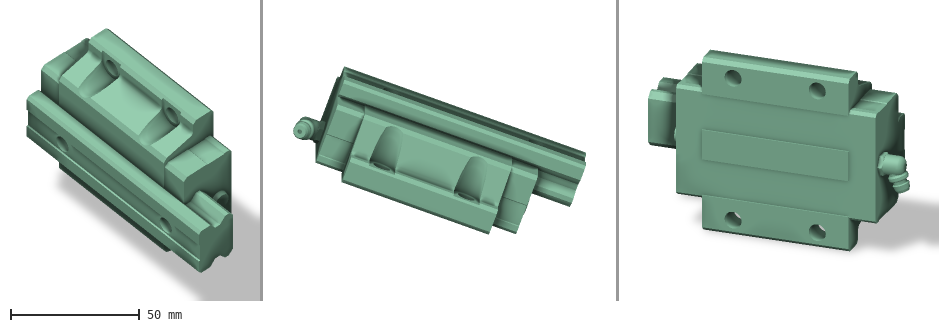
import cadquery as cq
import math


RAIL_LENGTH = 100.0
RAIL_HEIGHT = 18.0
RAIL_HALF_WIDTH = 11.5
RAIL_FOOT_CHAMFER = 1.2
RAIL_HEAD_CHAMFER = 2.3
RACE_HALF_WIDTH = 8.5
RACE_FOOT_EDGE = 5.9
RACE_FLOOR_LOW = 8.5
RACE_FLOOR_HIGH = 11.0
RACE_HEAD_EDGE = 13.7
RELIEF_HALF_WIDTH = 4.5
RELIEF_DEPTH = 0.7
RELIEF_DRAFT = 0.2
RAIL_HOLE_DIAMETER = 7.0
RAIL_HOLE_PITCH = 60.0

CAP_LENGTH = 11.0
BLOCK_LENGTH = 60.9
CARRIAGE_LENGTH = BLOCK_LENGTH + 2 * CAP_LENGTH
BLOCK_CENTER_X = CARRIAGE_LENGTH / 2
BLOCK_TOP = 33.0
BLOCK_BOTTOM = 6.9
FLANGE_UNDERSIDE = 22.3
FLANGE_HALF_WIDTH = 73.0 / 2
FLANGE_CHAMFER = 1.6
FLANK_ROOT_HALF_WIDTH = 29.6
FLANK_ROOT_RADIUS = 1.8
FLANK_ANGLE = 15
FLANK_END = 8.5
BOTTOM_HALF_WIDTH = 24.0
TOP_GROOVE_INNER = 6.2
TOP_GROOVE_OUTER = 21.4

BOLT_HOLE_DIAMETER = 7.0
BOLT_PITCH_X = 35.0
BOLT_PITCH_Z = 60.0
POCKET_WIDTH = 10.7
POCKET_DEPTH = 0.7

CAP_TOP = 32.3
CAP_BOTTOM = 7.5
CAP_HALF_WIDTH = 23.2
CAP_TOP_CHAMFER = 1.2
CAP_BOTTOM_CHAMFER = 1.7
CAP_RECESS_LOW = 19.6
CAP_RECESS_HIGH = 28.8
CAP_RECESS_DEPTH = 0.3

NIPPLE_Y = 25.6
HEX_ACROSS_CORNERS = 9.4
HEX_LENGTH = 2.0
HEX_BEVEL = 0.6
ELBOW_DIAMETER = 8.0
ELBOW_LENGTH = 9.7
ELBOW_ROUND = 2.6
SPOUT_PIVOT_X = -5.4
SPOUT_TILT = 20
COLLAR_DIAMETER = 8.0
SPOUT_DIAMETER = 6.6
NECK_DIAMETER = 5.5
HEAD_DIAMETER = 6.8
TIP_DIAMETER = 4.9
COLLAR_START = 3.3
COLLAR_END = 5.9
COLLAR_BEVEL = 0.8
NECK_END = 7.4
HEAD_START = 7.7
HEAD_TAPER_START = 9.7
SPOUT_LENGTH = 10.8
HEAD_TAPER_DIAMETER = 6.0
TIP_HOLE_DIAMETER = 1.8
TIP_HOLE_DEPTH = 1.1
PLUG_DIAMETER = 8.0
PLUG_LENGTH = 2.0


def mirrored_prism(half_outline, x_start, length):
    """Extrude along X a section given by its +Z half, as (y, z) points, mirrored about Z = 0."""
    other_half = [(y, -z) for y, z in reversed(half_outline)]
    return (
        cq.Workplane("YZ", origin=(x_start, 0, 0))
        .polyline(half_outline + other_half)
        .close()
        .extrude(length)
    )


def rail_prism():
    half_outline = [
        (RELIEF_DEPTH, RELIEF_HALF_WIDTH - RELIEF_DRAFT),
        (0, RELIEF_HALF_WIDTH),
        (0, RAIL_HALF_WIDTH - RAIL_FOOT_CHAMFER),
        (RAIL_FOOT_CHAMFER, RAIL_HALF_WIDTH),
        (RACE_FOOT_EDGE, RAIL_HALF_WIDTH),
        (RACE_FLOOR_LOW, RACE_HALF_WIDTH),
        (RACE_FLOOR_HIGH, RACE_HALF_WIDTH),
        (RACE_HEAD_EDGE, RAIL_HALF_WIDTH),
        (RAIL_HEIGHT - RAIL_HEAD_CHAMFER, RAIL_HALF_WIDTH),
        (RAIL_HEIGHT, RAIL_HALF_WIDTH - RAIL_HEAD_CHAMFER),
    ]
    return mirrored_prism(half_outline, 0, RAIL_LENGTH)


def y_cylinder(x, z, diameter, y_start, length):
    return cq.Workplane(
        cq.Solid.makeCylinder(diameter / 2, length, cq.Vector(x, y_start, z), cq.Vector(0, 1, 0))
    )


def make_rail():
    rail = rail_prism()
    for side in (-1, 1):
        hole_x = RAIL_LENGTH / 2 + side * RAIL_HOLE_PITCH / 2
        rail = rail.cut(y_cylinder(hole_x, 0, RAIL_HOLE_DIAMETER, 0, RAIL_HEIGHT))
    return rail


def make_block():
    flank_drop = (FLANGE_UNDERSIDE - FLANK_END) * math.tan(math.radians(FLANK_ANGLE))
    half_outline = [
        (BLOCK_BOTTOM, BOTTOM_HALF_WIDTH),
        (FLANK_END, FLANK_ROOT_HALF_WIDTH - flank_drop),
        (FLANGE_UNDERSIDE, FLANK_ROOT_HALF_WIDTH),
        (FLANGE_UNDERSIDE, FLANGE_HALF_WIDTH - FLANGE_CHAMFER),
        (FLANGE_UNDERSIDE + FLANGE_CHAMFER, FLANGE_HALF_WIDTH),
        (BLOCK_TOP - FLANGE_CHAMFER, FLANGE_HALF_WIDTH),
        (BLOCK_TOP, FLANGE_HALF_WIDTH - FLANGE_CHAMFER),
        (BLOCK_TOP, TOP_GROOVE_OUTER),
        (CAP_TOP, TOP_GROOVE_OUTER),
        (CAP_TOP, TOP_GROOVE_INNER),
        (BLOCK_TOP, TOP_GROOVE_INNER),
    ]
    block = mirrored_prism(half_outline, CAP_LENGTH, BLOCK_LENGTH)
    for side in (-1, 1):
        root_point = (BLOCK_CENTER_X, FLANGE_UNDERSIDE, side * FLANK_ROOT_HALF_WIDTH)
        root_edge = cq.selectors.NearestToPointSelector(root_point)
        block = block.edges(root_edge).fillet(FLANK_ROOT_RADIUS)
    for x_side in (-1, 1):
        for z_side in (-1, 1):
            block = block.cut(bolt_hole_and_pocket(x_side, z_side))
    return block


def bolt_hole_and_pocket(x_side, z_side):
    """Through hole plus a round-ended pocket that runs out through the flange side."""
    x = BLOCK_CENTER_X + x_side * BOLT_PITCH_X / 2
    z = z_side * BOLT_PITCH_Z / 2
    pocket_height = FLANGE_UNDERSIDE + POCKET_DEPTH - BLOCK_BOTTOM
    run_out = FLANGE_HALF_WIDTH - BOLT_PITCH_Z / 2
    hole = y_cylinder(x, z, BOLT_HOLE_DIAMETER, BLOCK_BOTTOM, BLOCK_TOP - BLOCK_BOTTOM)
    round_end = y_cylinder(x, z, POCKET_WIDTH, BLOCK_BOTTOM, pocket_height)
    open_end = cq.Workplane().box(POCKET_WIDTH, pocket_height, run_out).translate(
        (x, BLOCK_BOTTOM + pocket_height / 2, z + z_side * run_out / 2)
    )
    return hole.union(round_end).union(open_end)


def make_cap(x_start):
    recess_half_width = CAP_HALF_WIDTH - CAP_RECESS_DEPTH
    half_outline = [
        (CAP_BOTTOM, CAP_HALF_WIDTH - CAP_BOTTOM_CHAMFER),
        (CAP_BOTTOM + CAP_BOTTOM_CHAMFER, CAP_HALF_WIDTH),
        (CAP_RECESS_LOW, CAP_HALF_WIDTH),
        (CAP_RECESS_LOW + CAP_RECESS_DEPTH, recess_half_width),
        (CAP_RECESS_HIGH - CAP_RECESS_DEPTH, recess_half_width),
        (CAP_RECESS_HIGH, CAP_HALF_WIDTH),
        (CAP_TOP - CAP_TOP_CHAMFER, CAP_HALF_WIDTH),
        (CAP_TOP, CAP_HALF_WIDTH - CAP_TOP_CHAMFER),
    ]
    return mirrored_prism(half_outline, x_start, CAP_LENGTH)


def make_spout():
    """Stepped spout turned about its own axis, then tilted onto the elbow."""
    collar_radius = COLLAR_DIAMETER / 2
    tip_hole_bottom = -SPOUT_LENGTH + TIP_HOLE_DEPTH
    spout = (
        cq.Workplane("XZ")
        .lineTo(SPOUT_DIAMETER / 2, 0)
        .lineTo(SPOUT_DIAMETER / 2, -COLLAR_START)
        .lineTo(collar_radius, -COLLAR_START - COLLAR_BEVEL)
        .lineTo(collar_radius, -COLLAR_END + COLLAR_BEVEL)
        .radiusArc((collar_radius - COLLAR_BEVEL, -COLLAR_END), COLLAR_BEVEL)
        .lineTo(NECK_DIAMETER / 2, -COLLAR_END)
        .lineTo(NECK_DIAMETER / 2, -NECK_END)
        .lineTo(HEAD_DIAMETER / 2, -HEAD_START)
        .lineTo(HEAD_TAPER_DIAMETER / 2, -HEAD_TAPER_START)
        .lineTo(TIP_DIAMETER / 2, -SPOUT_LENGTH)
        .lineTo(TIP_HOLE_DIAMETER / 2, -SPOUT_LENGTH)
        .lineTo(TIP_HOLE_DIAMETER / 2, tip_hole_bottom)
        .lineTo(0, tip_hole_bottom)
        .close()
        .revolve(360, (0, 0), (0, 1))
    )
    return spout.rotate((0, 0, 0), (0, 1, 0), SPOUT_TILT).translate((SPOUT_PIVOT_X, NIPPLE_Y, 0))


def make_grease_nipple():
    cap_face = cq.Workplane("YZ", origin=(0, NIPPLE_Y, 0))
    hexagon = cap_face.polygon(6, HEX_ACROSS_CORNERS).extrude(-HEX_LENGTH)
    bevelled_disc = (
        cap_face.circle(HEX_ACROSS_CORNERS / 2)
        .extrude(-HEX_LENGTH)
        .edges("<X")
        .chamfer(HEX_BEVEL)
    )
    elbow = cap_face.circle(ELBOW_DIAMETER / 2).extrude(-ELBOW_LENGTH).edges("<X").fillet(ELBOW_ROUND)
    return hexagon.intersect(bevelled_disc).union(elbow).union(make_spout())


def make_plug():
    """Dome centred on the right cap's outer face and cut off flat."""
    dome = cq.Workplane().sphere(PLUG_DIAMETER / 2)
    keep = cq.Workplane("YZ").circle(PLUG_DIAMETER).extrude(PLUG_LENGTH)
    return dome.intersect(keep).translate((CARRIAGE_LENGTH, NIPPLE_Y, 0))


def make_carriage():
    body = (
        make_block()
        .union(make_cap(0))
        .union(make_cap(CAP_LENGTH + BLOCK_LENGTH))
    )
    return body.cut(rail_prism()).union(make_grease_nipple()).union(make_plug())


rail = make_rail()
carriage = make_carriage()

result = cq.Compound.makeCompound([rail.solids().val(), carriage.solids().val()])